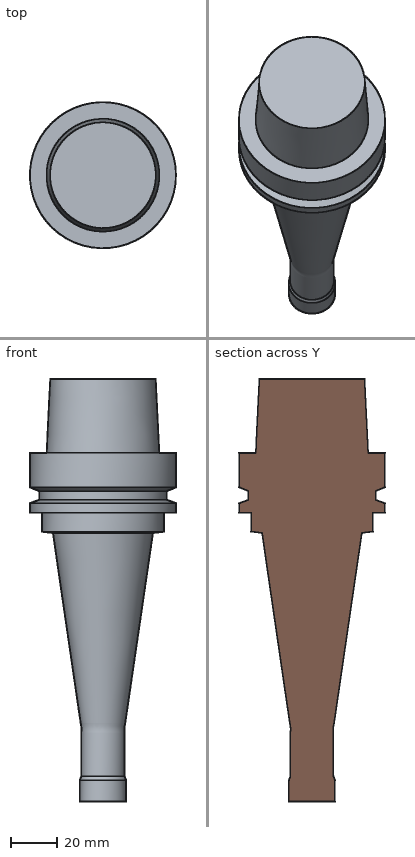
import cadquery as cq

total_height = 182.0
tip_top = 9.3
neck_bottom = 11.0
neck_top = 29.8
cone_bottom = 33.9
cone_top = 115.5
collar_bottom = 116.1
flange_bottom = 124.3
groove_lower_edge = 128.5
groove_floor_bottom = 130.0
groove_floor_top = 133.5
groove_upper_edge = 135.2
flange_top = 150.2

tip_diameter = 20.0
neck_diameter = 18.7
cone_bottom_diameter = 19.3
cone_top_diameter = 43.1
collar_diameter = 52.6
flange_diameter = 63.0
groove_diameter = 55.0
shank_bottom_diameter = 48.6
shank_top_diameter = 45.5

blend_sag = 0.2
blend_mid_radius = (neck_diameter + cone_bottom_diameter) / 4 - blend_sag
blend_mid_height = (neck_top + cone_bottom) / 2

profile = (
    cq.Workplane("XZ")
    .moveTo(0, 0)
    .lineTo(tip_diameter / 2, 0)
    .lineTo(tip_diameter / 2, tip_top)
    .lineTo(neck_diameter / 2, neck_bottom)
    .lineTo(neck_diameter / 2, neck_top)
    .threePointArc((blend_mid_radius, blend_mid_height), (cone_bottom_diameter / 2, cone_bottom))
    .lineTo(cone_top_diameter / 2, cone_top)
    .lineTo(collar_diameter / 2, collar_bottom)
    .lineTo(collar_diameter / 2, flange_bottom)
    .lineTo(flange_diameter / 2, flange_bottom)
    .lineTo(flange_diameter / 2, groove_lower_edge)
    .lineTo(groove_diameter / 2, groove_floor_bottom)
    .lineTo(groove_diameter / 2, groove_floor_top)
    .lineTo(flange_diameter / 2, groove_upper_edge)
    .lineTo(flange_diameter / 2, flange_top)
    .lineTo(shank_bottom_diameter / 2, flange_top)
    .lineTo(shank_top_diameter / 2, total_height)
    .lineTo(0, total_height)
    .close()
)

result = profile.revolve(360, (0, 0, 0), (0, 1, 0))